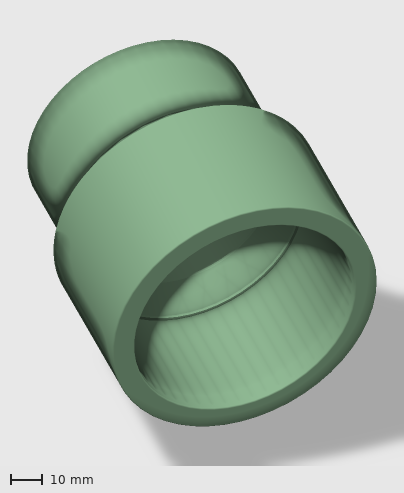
import cadquery as cq

total_length = 93.1
narrow_length = 34.0
cone_length = 8.0
narrow_diameter = 75.0
wide_diameter = 90.0

narrow_socket_diameter = 63.0
narrow_socket_depth = 38.0
wide_socket_diameter = narrow_diameter
wide_socket_depth = 43.9
ledge_height = 1.0
ledge_land = 1.0

edge_radius = 0.5

cone_end = narrow_length + cone_length
throat_end = total_length - wide_socket_depth
throat_narrow_diameter = narrow_socket_diameter - 2 * ledge_height
throat_wide_diameter = wide_socket_diameter - 2 * ledge_height


def revolve_profile(stations):
    """Solid of revolution about X through (x, diameter) stations."""
    outline = [(x, diameter / 2) for x, diameter in stations]
    first_x = stations[0][0]
    last_x = stations[-1][0]
    profile = cq.Workplane("XY").polyline([(first_x, 0)] + outline + [(last_x, 0)]).close()
    return profile.revolve(360, (0, 0, 0), (1, 0, 0))


body = revolve_profile([
    (0, narrow_diameter),
    (narrow_length, narrow_diameter),
    (cone_end, wide_diameter),
    (total_length, wide_diameter),
]).edges("%CIRCLE").fillet(edge_radius)

passage = revolve_profile([
    (0, narrow_socket_diameter),
    (narrow_socket_depth, narrow_socket_diameter),
    (narrow_socket_depth, throat_narrow_diameter),
    (narrow_socket_depth + ledge_land, throat_narrow_diameter),
    (throat_end - ledge_land, throat_wide_diameter),
    (throat_end, throat_wide_diameter),
    (throat_end, wide_socket_diameter),
    (total_length, wide_socket_diameter),
])

coupling = body.cut(passage)

mouths = coupling.faces("<X or >X").edges("%CIRCLE")
result = mouths.fillet(edge_radius)